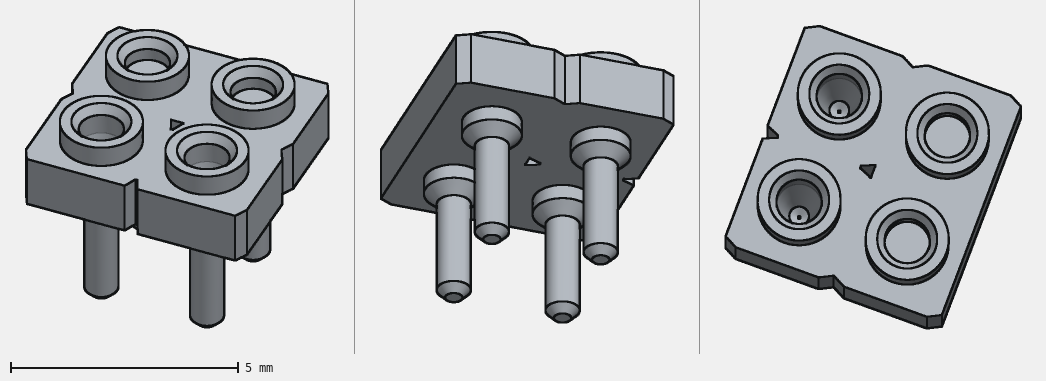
import cadquery as cq

pitch = 2.54
half_pitch = pitch / 2
overall_height = 4.83

plate_length = 5.31
plate_width = 5.08
plate_thickness = 1.265
notch_half_width = 0.155
notch_tip_half = 0.025
notch_depth = 0.3
chamfer_x = 0.155
chamfer_y = 0.3

flange_diameter = 1.83
flange_height = 0.515
collar_diameter = 1.32
collar_drop = 0.345
collar_taper = 0.275
stem_diameter = 0.76
tip_diameter = 0.38
tip_height = 0.195

mouth_diameter = 1.32
bore_diameter = 1.0
mouth_depth = 0.205
shallow_bore_depth = 0.515
deep_bore_depth = 0.71
funnel_diameter = 0.435
funnel_height = 1.06
drill_point_height = 0.13
drill_flat_diameter = 0.06

flange_top = plate_thickness + flange_height
pin_bottom = flange_top - overall_height
taper_top = -collar_drop
taper_bottom = taper_top - collar_taper


def mirrored_in_y(points):
    """Reflect a chain of (x, y) points across the X axis, in reverse order."""
    return [(x, -y) for x, y in reversed(points)]


def prism(points):
    """Extrude an outline through the plate thickness."""
    return cq.Workplane("XY").polyline(points).close().extrude(plate_thickness)


def trapezoid_notch(mouth_y, direction):
    """Through notch that opens at mouth_y and narrows along Y towards direction (+1 or -1)."""
    tip_y = mouth_y + direction * notch_depth
    return prism([
        (-notch_half_width, mouth_y),
        (notch_half_width, mouth_y),
        (notch_tip_half, tip_y),
        (-notch_tip_half, tip_y),
    ])


def make_plate(pin_places):
    """Bevelled plate with V-notched sides, two trapezoid notches and a hole for each pin."""
    x_side = plate_length / 2
    y_side = plate_width / 2
    upper_right = [
        (x_side - chamfer_x, 0),
        (x_side, chamfer_y),
        (x_side, y_side - chamfer_y),
        (x_side - chamfer_x, y_side),
    ]
    right_side = mirrored_in_y(upper_right[1:]) + upper_right
    left_side = [(-x, y) for x, y in reversed(right_side)]
    plate = prism(right_side + left_side)
    plate = plate.cut(trapezoid_notch(-y_side, 1))
    plate = plate.cut(trapezoid_notch(0, -1))
    holes = (
        cq.Workplane("XY")
        .pushPoints(pin_places)
        .circle(collar_diameter / 2)
        .extrude(plate_thickness)
    )
    return plate.cut(holes)


def make_pin(bore_floor):
    """Turned pin on the Z axis; bore_floor lists the (radius, z) points that close its bore."""
    profile = [
        (0, pin_bottom),
        (tip_diameter / 2, pin_bottom),
        (stem_diameter / 2, pin_bottom + tip_height),
        (stem_diameter / 2, taper_bottom),
        (collar_diameter / 2, taper_top),
        (collar_diameter / 2, plate_thickness),
        (flange_diameter / 2, plate_thickness),
        (flange_diameter / 2, flange_top),
        (mouth_diameter / 2, flange_top),
        (bore_diameter / 2, flange_top - mouth_depth),
    ]
    return cq.Workplane("XZ").polyline(profile + bore_floor).close().revolve(360, (0, 0), (0, 1))


shallow_floor_z = flange_top - shallow_bore_depth
flat_floor = [(bore_diameter / 2, shallow_floor_z), (0, shallow_floor_z)]

funnel_top = flange_top - deep_bore_depth
funnel_bottom = funnel_top - funnel_height
funnel_floor = [
    (bore_diameter / 2, funnel_top),
    (funnel_diameter / 2, funnel_bottom),
    (drill_flat_diameter / 2, funnel_bottom - drill_point_height),
    (0, funnel_bottom - drill_point_height),
]

front_places = [(-half_pitch, -half_pitch), (half_pitch, -half_pitch)]
rear_places = [(-half_pitch, half_pitch), (half_pitch, half_pitch)]

plate = make_plate(front_places + rear_places)
pins = []
for places, bore_floor in ((front_places, funnel_floor), (rear_places, flat_floor)):
    for x, y in places:
        pins.append(make_pin(bore_floor).translate((x, y, 0)).val())

result = cq.Compound.makeCompound([plate.val(), *pins])